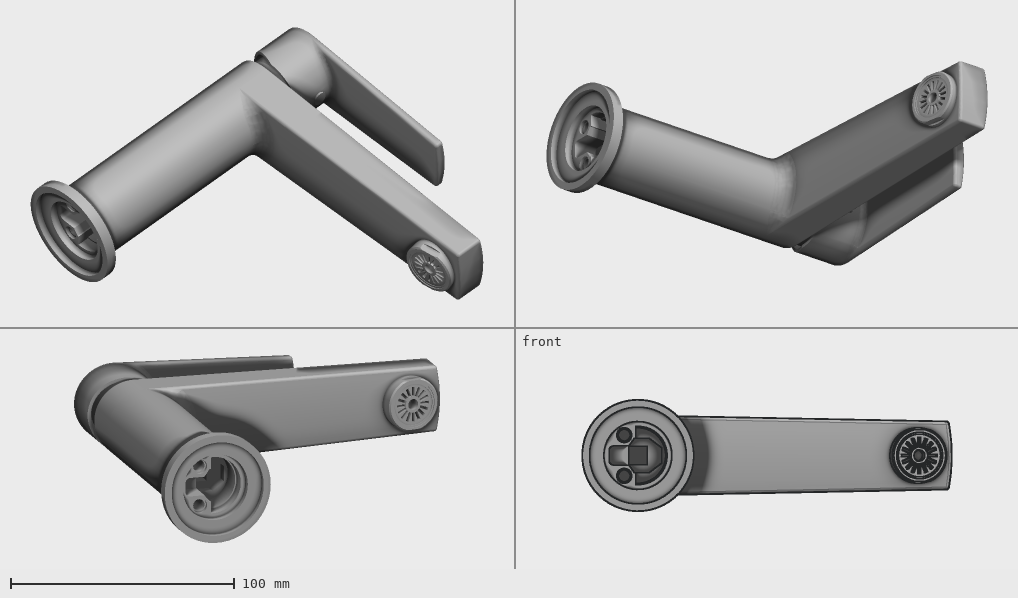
import cadquery as cq
import math

column_diameter = 35.9
column_radius = column_diameter / 2
spare = 1.7
crown_sag = 1.2
edge_round = 1.5

ring_radius = 25.0
ring_thickness = 5.1
ring_recess_radius = 21.7
ring_recess_depth = 3.1
bore_radius = 15.2
spigot_radius = 16.5

spout_reach = 140.4
spout_tip_sag = 1.5
spout_taper = 1.1
spout_top = 122.9
spout_underside = 102.0
spout_underside_slope = 2.0
spout_blend = 6.6

inlet_face = 6.8
inlet_radius = 13.0
inlet_flat = -1.0
inlet_depth = 5.8
inlet_step = 0.7
inlet_inner_depth = 16.5
socket_back = -4.0
socket_shoulder_back = -1.7
socket_shoulder_front = 5.1
socket_front = 10.6
socket_back_width = 8.6
socket_width = 15.2
socket_front_width = 7.0
socket_depth = 21.5
well_width = 8.3
well_depth = 28.1
key_back = -12.9
key_width = 8.6
key_round = 2.1
key_depth = 11.5
bolt_radius = 2.6
bolt_counterbore_radius = 3.3
bolt_counterbore_depth = 1.7
bolt_depth = 13.2
bolt_x = -6.1
bolt_z = 9.1

collar_radius = 15.0
collar_step = 125.3
collar_upper_radius = 14.7
collar_top = 135.6
collar_seat = 120.7

handle_bottom = 124.5
handle_top = 151.6
handle_back_bottom = 131.1
handle_cavity_radius = 16.5
lever_reach = 85.0
lever_tip_sag = 1.2
lever_taper = 2.8
lever_underside = 145.8
lever_blend = 2.5

marker_height = 137.2
marker_radius = 3.3
marker_proud = 0.58
marker_depth = 1.7

aerator_x = 126.0
aerator_y = 101.5
aerator_tilt = 10.0
aerator_radius = 12.4
aerator_length = 11.5
aerator_chamfer = 0.7
flat_offset = 11.4
flat_width = 10.0
flat_height = 3.3
rim_radius = 10.5
rim_step = 0.5
insert_radius = 9.6
insert_recess = 0.8
insert_thickness = 8.3
hub_hole_radius = 2.5
hub_hole_depth = 6.6
slot_count = 16
slot_inner = 3.8
slot_outer = 8.1
slot_width = 1.3
slot_depth = 4.1


def disc(radius, low, high, x=0, z=0):
    """Cylinder about a vertical (Y) axis between two heights."""
    plane = cq.Workplane("XZ", origin=(0, low, 0))
    return plane.center(x, z).circle(radius).extrude(low - high)


def block(x_low, x_high, z_width, low, high):
    """Box centred on Z = 0, between two heights."""
    size = (x_high - x_low, high - low, z_width)
    centre = ((x_low + x_high) / 2, (low + high) / 2, 0)
    return cq.Workplane("XY").box(*size).translate(centre)


def teardrop(reach, tip_sag, taper_angle, low, high):
    """Column outline running tangentially into a tapered arm with a bowed tip."""
    taper = math.radians(taper_angle)
    tangent_x = column_radius * math.sin(taper)
    tangent_z = column_radius * math.cos(taper)
    corner_x = reach - tip_sag
    corner_z = tangent_z - (corner_x - tangent_x) * math.tan(taper)
    outline = (
        cq.Workplane("XZ", origin=(0, low, 0))
        .moveTo(tangent_x, tangent_z)
        .lineTo(corner_x, corner_z)
        .threePointArc((reach, 0), (corner_x, -corner_z))
        .lineTo(tangent_x, -tangent_z)
        .threePointArc((-column_radius, 0), (tangent_x, tangent_z))
        .close()
    )
    return outline.extrude(low - high)


def crowned_bar(crest, far, reach):
    """Bar along X with one face bowed about X, cresting at one height and running flat to another."""
    half = column_radius + spare
    start = -2 * column_radius
    sag = crown_sag * (half / column_radius) ** 2
    edge = crest + math.copysign(sag, far - crest)
    section = (
        cq.Workplane("YZ", origin=(start, 0, 0))
        .moveTo(edge, -half)
        .threePointArc((crest, 0), (edge, half))
        .lineTo(far, half)
        .lineTo(far, -half)
        .close()
    )
    return section.extrude(reach - start + column_radius)


def make_arm(reach, tip_sag, taper, top, underside, slope):
    """Tapered arm with crowned top and underside and all its edges rounded."""
    margin = 2 * crown_sag + spare
    arm = teardrop(reach, tip_sag, taper, underside - margin, top + margin)
    upper = crowned_bar(top, underside - 2 * margin, reach)
    lower = crowned_bar(underside, top + 4 * margin, reach)
    lower = lower.rotate((0, underside, 0), (0, underside, 1), slope)
    return arm.intersect(upper).intersect(lower).edges().fillet(edge_round)


def add_column(arm, column, underside, blend):
    """Join a column to its arm and blend the front of the column into the arm's underside."""
    joined = arm.union(column)
    seam_reach = column_radius + spare
    corner_low = (column_radius / 3, underside - spare, -seam_reach)
    corner_high = (seam_reach, underside + 2 * crown_sag, seam_reach)
    seam = cq.selectors.BoxSelector(corner_low, corner_high, boundingbox=True)
    return joined.edges(seam).fillet(blend)


def make_ring():
    ring = disc(ring_radius, 0, ring_thickness)
    recess = disc(ring_recess_radius, 0, ring_recess_depth)
    spigot = disc(spigot_radius, ring_thickness, inlet_face)
    bore = disc(bore_radius, 0, inlet_face)
    return ring.union(spigot).cut(recess).cut(bore)


def d_pocket(radius, low, high):
    """Cylinder with its back cut off flat."""
    front = block(inlet_flat, 2 * radius, 2 * radius, low, high)
    return disc(radius, low, high).intersect(front)


def socket_pocket():
    """Eight-sided pocket, widest between its shoulders and symmetric about Z = 0."""
    near_side = [
        (socket_back, -socket_back_width / 2),
        (socket_shoulder_back, -socket_width / 2),
        (socket_shoulder_front, -socket_width / 2),
        (socket_front, -socket_front_width / 2),
    ]
    far_side = [(x, -z) for x, z in reversed(near_side)]
    plane = cq.Workplane("XZ", origin=(0, inlet_face, 0))
    return plane.polyline(near_side + far_side).close().extrude(-socket_depth)


def key_pocket():
    """Slot behind the socket with rounded back corners, open into the socket."""
    key = block(key_back, 0, key_width, inlet_face, inlet_face + key_depth)
    return key.edges("|Y and <X").fillet(key_round)


def inlet_pockets():
    pockets = disc(spigot_radius, ring_thickness, inlet_face)
    step_height = inlet_face + inlet_depth
    pockets = pockets.union(d_pocket(inlet_radius, inlet_face, step_height))
    inner_radius = inlet_radius - inlet_step
    pockets = pockets.union(d_pocket(inner_radius, inlet_face, inlet_face + inlet_inner_depth))
    pockets = pockets.union(socket_pocket()).union(key_pocket())
    well = block(-well_width / 2, well_width / 2, well_width, inlet_face, inlet_face + well_depth)
    pockets = pockets.union(well)
    for side in (-1, 1):
        place = (bolt_x, side * bolt_z)
        counterbore_top = inlet_face + bolt_counterbore_depth
        pockets = pockets.union(disc(bolt_counterbore_radius, inlet_face, counterbore_top, *place))
        pockets = pockets.union(disc(bolt_radius, inlet_face, inlet_face + bolt_depth, *place))
    return pockets


def make_body():
    arm = make_arm(
        spout_reach, spout_tip_sag, spout_taper, spout_top, spout_underside, spout_underside_slope
    )
    column = disc(column_radius, ring_thickness, (spout_underside + spout_top) / 2)
    body = add_column(arm, column, spout_underside, spout_blend)
    body = body.cut(disc(collar_radius, collar_seat, spout_top + spare))
    aerator_socket = aerator_plane().circle(aerator_radius).extrude(-aerator_length)
    return body.cut(inlet_pockets()).cut(aerator_socket)


def make_collar():
    collar = disc(collar_radius, collar_seat, collar_step)
    return collar.union(disc(collar_upper_radius, collar_step, collar_top))


def make_marker():
    start = column_radius - marker_depth
    face = cq.Workplane("YZ", origin=(start, 0, 0)).center(marker_height, 0)
    return face.circle(marker_radius).extrude(marker_depth + marker_proud)


def back_cut():
    """Wedge under the slanted back edge of the handle, ending at the column axis."""
    reach = column_radius + spare
    rise = (handle_back_bottom - handle_bottom) * reach / column_radius
    wedge = cq.Workplane("XY").polyline(
        [(0, handle_bottom), (-reach, handle_bottom), (-reach, handle_bottom + rise)]
    )
    return wedge.close().extrude(reach, both=True)


def make_handle():
    arm = make_arm(lever_reach, lever_tip_sag, lever_taper, handle_top, lever_underside, 0)
    column = disc(column_radius, handle_bottom, (lever_underside + handle_top) / 2)
    handle = add_column(arm, column, lever_underside, lever_blend)
    cavity = disc(handle_cavity_radius, handle_bottom, collar_top)
    return handle.cut(cavity).cut(back_cut()).cut(make_marker())


def aerator_plane(depth=0.0):
    """Workplane on the tilted outlet face, or at a depth behind it, facing outward."""
    tilt = math.radians(aerator_tilt)
    across = (math.cos(tilt), math.sin(tilt), 0)
    outward = (math.sin(tilt), -math.cos(tilt), 0)
    face = cq.Plane(origin=(aerator_x, aerator_y, 0), xDir=across, normal=outward)
    return cq.Workplane(face).workplane(offset=-depth)


def make_aerator_housing():
    housing = aerator_plane(aerator_length).circle(aerator_radius).extrude(aerator_length)
    housing = housing.faces("<Y").edges().chamfer(aerator_chamfer)
    insert_pocket = aerator_plane().circle(insert_radius).extrude(-insert_recess - insert_thickness)
    rim = aerator_plane().circle(rim_radius).extrude(-rim_step)
    flat_depth = aerator_radius
    flats = (
        aerator_plane()
        .pushPoints([(0, side * (flat_offset + flat_depth / 2)) for side in (-1, 1)])
        .rect(flat_width, flat_depth)
        .extrude(-flat_height)
    )
    return housing.cut(insert_pocket).cut(rim).cut(flats)


def make_aerator_insert():
    insert = aerator_plane(insert_recess + insert_thickness).circle(insert_radius).extrude(insert_thickness)
    hub_hole = aerator_plane(insert_recess).circle(hub_hole_radius).extrude(-hub_hole_depth)
    slots = (
        aerator_plane(insert_recess)
        .polarArray((slot_inner + slot_outer) / 2, 0, 360, slot_count)
        .rect(slot_outer - slot_inner, slot_width)
        .extrude(-slot_depth)
    )
    return insert.cut(hub_hole).cut(slots)


ring = make_ring()
body = make_body()
collar = make_collar()
handle = make_handle()
marker = make_marker()
aerator_housing = make_aerator_housing()
aerator_insert = make_aerator_insert()

bodies = [ring, body, collar, handle, marker, aerator_housing, aerator_insert]

result = cq.Compound.makeCompound([part.solids().val() for part in bodies])